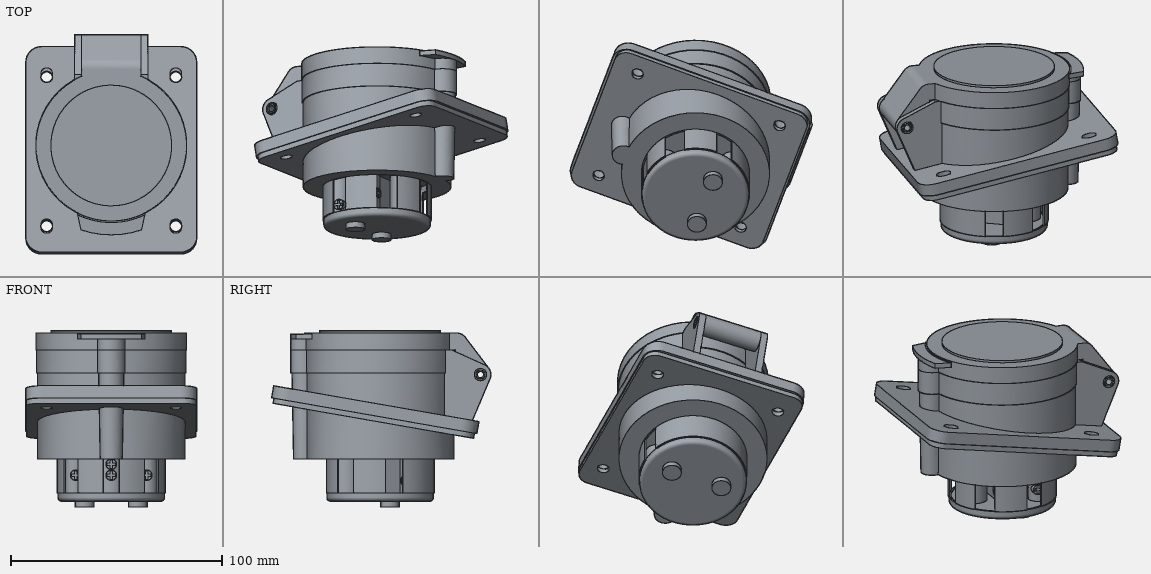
import cadquery as cq
import math

collar_bottom = 40.9
collar_top = 51.8
lid_top = 59.8
disc_top = 60.8

barrel_radius = 35.0
collar_radius = 35.5
boss_y = -35.8
boss_foot_radius = 5.3
boss_head_radius = 6.0
boss_collar_radius = 6.5

flange_tilt = 9.9
flange_width = 81.0
flange_length = 98.8
flange_thickness = 5.8
flange_corner = 7.6
flange_centre_y = -1.8
flange_axis_height = 26.0
seal_width = 80.2
seal_length = 96.5
seal_thickness = 2.5
seal_corner = 6.2
hole_x = 30.6
hole_pitch_half = 35.8
slot_centre_y = -2.4
slot_length = 6.8
hole_diameter = 5.5

hinge_y = 47.5
hinge_z = 40.0
hinge_round = 5.0
ear_inner_x = 14.0
ear_outer_x = 17.4
ear_top_y = 33.7
ear_foot_y = 43.5
ear_foot_z = 17.7
ear_hole_radius = 2.9
trunnion_radius = 2.2
trunnion_bore_radius = 1.5
hinge_root_y = 20.8

lid_radius = 35.8
disc_radius = 28.6
arm_corner_y = 38.8
arm_corner_round = 5.2
arm_root_y = 35.7
arm_root_z = 49.9
lid_boss_radius = 6.5
tab_radius = 42.3
tab_bottom = 56.9
tab_top = 59.2
tab_root_half = 16.0
tab_root_y = -32.2
tab_tip_half = 14.3
tab_tip_y = -39.9
tab_step_radius = 36.5
tab_step_top = 59.4

insert_radius = 25.7
insert_depth = 3.1
wall_inner_radius = 25.0
base_radius = 25.3
base_top = -15.9
base_bottom = -20.0
base_round = 1.8
floor_radius = 24.2
floor_drop = 0.3
windows = ((0, 17.2), (49.3, 22.6), (-49.3, 22.6), (105.4, 19.4), (-105.4, 19.4))
post_count = 5
post_reach = 22.6
earth_post_radius = 7.2
post_radius = 4.9
core_side_distance = 5.4
screw_radius = 2.5
screw_slot_width = 1.0
screw_slot_length = 4.2
screw_slot_depth = 0.8
low_screw_z = -7.6
high_screw_z = -2.4
side_screw_y = 12.3
side_screw_z = -10.2
foot_x = 12.6
foot_y = 4.7
foot_radius = 4.5
foot_bottom = -22.7


def cylinder(radius, bottom, top, x=0, y=0):
    return cq.Workplane("XY", origin=(x, y, bottom)).circle(radius).extrude(top - bottom)


def x_bar(radius, half_length):
    """Round bar on the hinge axis, centred on X = 0."""
    hinge_plane = cq.Workplane("YZ", origin=(0, hinge_y, hinge_z))
    return hinge_plane.circle(radius).extrude(half_length, both=True)


def hinge_tangent(y, z, side):
    """Point (y, z) where a line from the given point touches the hinge round.

    With +Y to the right and +Z up, side +1 is the touching point counter-clockwise from the
    given point as seen from the hinge axis, and side -1 is the clockwise one.
    """
    distance = math.hypot(y - hinge_y, z - hinge_z)
    direction = math.atan2(z - hinge_z, y - hinge_y)
    angle = direction + side * math.acos(hinge_round / distance)
    return hinge_y + hinge_round * math.cos(angle), hinge_z + hinge_round * math.sin(angle)


hinge_back = (hinge_y + hinge_round, hinge_z)


def flange_plane(depth):
    """Plane parallel to the flange's top face and the given depth below it."""
    tilt = math.radians(flange_tilt)
    centre_z = flange_axis_height - flange_centre_y * math.tan(tilt)
    normal = (0, math.sin(tilt), math.cos(tilt))
    top = cq.Plane(origin=(0, flange_centre_y, centre_z), xDir=(1, 0, 0), normal=normal)
    return cq.Workplane(top).workplane(offset=-depth)


def rounded_plate(depth, width, length, thickness, corner):
    outline = cq.Sketch().rect(width, length).vertices().fillet(corner)
    return flange_plane(depth).placeSketch(outline).extrude(-thickness)


def make_flange():
    plate = rounded_plate(0, flange_width, flange_length, flange_thickness, flange_corner)
    slots = (
        cq.Workplane("XY")
        .center(0, slot_centre_y)
        .rect(2 * hole_x, 2 * hole_pitch_half, forConstruction=True)
        .vertices()
        .slot2D(slot_length, hole_diameter, 90)
        .extrude(collar_bottom)
    )
    seal = rounded_plate(flange_thickness, seal_width, seal_length, seal_thickness, seal_corner)
    holes = (
        flange_plane(flange_thickness)
        .rect(2 * hole_x, 2 * hole_pitch_half, forConstruction=True)
        .vertices()
        .circle(hole_diameter / 2)
        .extrude(-seal_thickness)
    )
    return plate.cut(slots).union(seal.cut(holes))


def make_ears():
    top_touch = hinge_tangent(ear_top_y, collar_top, -1)
    foot_touch = hinge_tangent(ear_foot_y, ear_foot_z, 1)
    outline = (
        cq.Workplane("YZ", origin=(-ear_outer_x, 0, 0))
        .moveTo(hinge_root_y, collar_top)
        .lineTo(ear_top_y, collar_top)
        .lineTo(*top_touch)
        .threePointArc(hinge_back, foot_touch)
        .lineTo(ear_foot_y, ear_foot_z)
        .lineTo(hinge_root_y, ear_foot_z)
        .close()
    )
    left_ear = outline.extrude(ear_outer_x - ear_inner_x)
    return left_ear.union(left_ear.mirror("YZ")).cut(x_bar(ear_hole_radius, ear_outer_x))


def make_housing():
    boss = (
        cq.Workplane("XY", origin=(0, boss_y, 0))
        .circle(boss_foot_radius)
        .workplane(offset=collar_bottom)
        .circle(boss_head_radius)
        .loft()
    )
    return (
        cylinder(barrel_radius, 0, collar_bottom)
        .union(cylinder(collar_radius, collar_bottom, collar_top))
        .union(boss)
        .union(cylinder(boss_collar_radius, collar_bottom, collar_top, y=boss_y))
        .union(make_flange())
        .union(make_ears())
        .cut(cylinder(insert_radius, 0, insert_depth))
    )


def make_hinge_arm():
    top_touch = hinge_tangent(arm_corner_y, lid_top, -1)
    root_touch = hinge_tangent(arm_root_y, arm_root_z, 1)
    arm = (
        cq.Workplane("YZ")
        .moveTo(hinge_root_y, lid_top)
        .lineTo(arm_corner_y, lid_top)
        .lineTo(*top_touch)
        .threePointArc(hinge_back, root_touch)
        .lineTo(arm_root_y, arm_root_z)
        .lineTo(arm_root_y, collar_top)
        .lineTo(hinge_root_y, collar_top)
        .close()
        .extrude(ear_inner_x, both=True)
    )
    corner = cq.selectors.NearestToPointSelector((0, arm_corner_y, lid_top))
    return arm.edges("|X").edges(corner).fillet(arm_corner_round)


def tab_block(top):
    return (
        cq.Workplane("XY", origin=(0, 0, tab_bottom))
        .moveTo(-tab_root_half, tab_root_y)
        .lineTo(-tab_tip_half, tab_tip_y)
        .threePointArc((0, -tab_radius), (tab_tip_half, tab_tip_y))
        .lineTo(tab_root_half, tab_root_y)
        .close()
        .extrude(top - tab_bottom)
    )


def make_tab():
    """Finger tab at the front with a narrow raised step along the lid's rim."""
    rim_step = tab_block(tab_step_top).intersect(cylinder(tab_step_radius, tab_bottom, tab_step_top))
    return tab_block(tab_top).union(rim_step)


def make_lid():
    return (
        cylinder(lid_radius, collar_top, lid_top)
        .union(cylinder(disc_radius, lid_top, disc_top))
        .union(cylinder(lid_boss_radius, collar_top, tab_bottom, y=boss_y))
        .union(make_tab())
        .union(make_hinge_arm())
        .union(x_bar(trunnion_radius, ear_outer_x))
        .cut(x_bar(trunnion_bore_radius, ear_outer_x))
    )


def window_cutter(angle, span):
    """Radial wedge from the base to Z = 0; angle is turned from -Y towards -X."""
    reach = 2 * insert_radius
    half = math.radians(span / 2)
    wedge = (
        cq.Workplane("XY", origin=(0, 0, base_top))
        .polyline([
            (0, 0),
            (-reach * math.sin(half), -reach * math.cos(half)),
            (reach * math.sin(half), -reach * math.cos(half)),
        ])
        .close()
        .extrude(-base_top)
    )
    return wedge.rotate((0, 0, 0), (0, 0, 1), -angle)


def make_shell(floor):
    base = cylinder(base_radius, base_bottom, base_top).faces("<Z").edges().fillet(base_round)
    shell = base.union(cylinder(insert_radius, base_top, insert_depth))
    shell = shell.cut(cylinder(wall_inner_radius, base_top, insert_depth))
    shell = shell.cut(cylinder(floor_radius, floor, base_top))
    for angle, span in windows:
        shell = shell.cut(window_cutter(angle, span))
    return shell


def radius_of_post(index):
    return earth_post_radius if index == 0 else post_radius


def post_centre(index):
    """Centre of a post; the first stands towards -Y and all reach equally far from the axis."""
    angle = index * 2 * math.pi / post_count
    pitch_radius = post_reach - radius_of_post(index)
    return -pitch_radius * math.sin(angle), -pitch_radius * math.cos(angle)


def make_screw(x, y, z, length, turn=0):
    """Cross-slotted screw whose axis runs from (x, y, z) towards -Y, then turned about Z."""
    screw = cq.Workplane("XZ").circle(screw_radius).extrude(length)
    head_face = cq.Workplane("XZ", origin=(0, -length, 0))
    for width, height in ((screw_slot_width, screw_slot_length), (screw_slot_length, screw_slot_width)):
        screw = screw.cut(head_face.rect(width, height).extrude(-screw_slot_depth))
    return screw.rotate((0, 0, 0), (0, 0, 1), turn).translate((x, y, z))


def make_screws():
    screws = [make_screw(*post_centre(0), high_screw_z, earth_post_radius)]
    for index in (0, 1, post_count - 1):
        screws.append(make_screw(*post_centre(index), low_screw_z, radius_of_post(index)))
    for index, turn in ((2, -90), (3, 90)):
        post_x = post_centre(index)[0]
        screws.append(make_screw(post_x, side_screw_y, side_screw_z, post_radius, turn))
    return screws


def make_core(floor):
    """Three-sided core between the posts, with one side towards -Y."""
    core = cq.Workplane("XY", origin=(0, 0, floor)).polygon(3, 4 * core_side_distance)
    return core.extrude(insert_depth - floor).rotate((0, 0, 0), (0, 0, 1), 90)


def make_insert():
    floor = base_top - floor_drop
    insert = make_shell(floor).union(make_core(floor))
    for index in range(post_count):
        insert = insert.union(cylinder(radius_of_post(index), floor, insert_depth, *post_centre(index)))
    for screw in make_screws():
        insert = insert.union(screw)
    for x in (-foot_x, foot_x):
        insert = insert.union(cylinder(foot_radius, foot_bottom, base_bottom, x, foot_y))
    return insert


housing = make_housing()
lid = make_lid()
insert = make_insert()
result = cq.Compound.makeCompound([housing.val(), lid.val(), insert.val()])